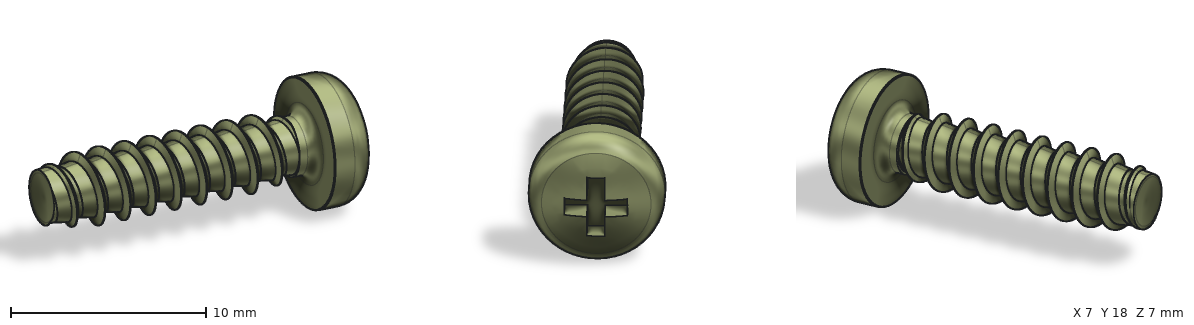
import cadquery as cq
import math


total_length = 18.03

head_radius = 3.5
head_seat_y = 15.04
dome_radius = 5.8
dome_edge_radius = 1.33
seat_chamfer = 0.05

recess_width = 0.92
recess_length = 3.25
recess_floor_y = 16.53

neck_radius = 1.57
neck_fillet = 0.6
neck_end_y = 14.01
core_radius = 1.39
dimple_radius = 1.3
dimple_depth = 0.1

pitch = 1.46
crest_radius = 2.0
crest_half_width = 0.027
thread_origin_y = 13.9
fade_in_turns = (-0.5, 1.1)
fade_out_turns = (8.0, 9.4)
ridge_turns = (-1, 10)
points_per_turn = 16

buried_radius = 1.32
root_radius = 1.4
full_section = [
    (-0.36, buried_radius),
    (-0.16, 1.64),
    (-crest_half_width, crest_radius),
    (crest_half_width, crest_radius),
    (0.2, 1.53),
    (0.97, root_radius),
    (1.03, buried_radius),
]
faded_section = [
    (-0.2, buried_radius),
    (-0.1, 1.45),
    (-crest_half_width, 1.5),
    (crest_half_width, 1.5),
    (0.2, 1.48),
    (0.97, root_radius),
    (1.03, buried_radius),
]


def make_head():
    """Turned head and neck, with the dome tangent to its rounded edge."""
    edge_centre_x = head_radius - dome_edge_radius
    centre_distance = dome_radius - dome_edge_radius
    edge_centre_height = math.sqrt(centre_distance**2 - edge_centre_x**2)
    corner_radius = recess_width / math.sqrt(2)
    dome_centre_y = total_length - math.sqrt(dome_radius**2 - corner_radius**2)
    edge_centre_y = dome_centre_y + edge_centre_height
    tangent_angle = math.atan2(edge_centre_height, edge_centre_x)

    def on_edge(angle):
        return (
            edge_centre_x + dome_edge_radius * math.cos(angle),
            edge_centre_y + dome_edge_radius * math.sin(angle),
        )

    def on_dome(angle):
        return (
            dome_radius * math.cos(angle),
            dome_centre_y + dome_radius * math.sin(angle),
        )

    apex_angle = math.pi / 2
    fillet_mid = neck_fillet * (1 - math.sqrt(0.5))
    return (
        cq.Workplane("XY")
        .moveTo(0, neck_end_y)
        .lineTo(neck_radius, neck_end_y)
        .lineTo(neck_radius, head_seat_y - neck_fillet)
        .threePointArc(
            (neck_radius + fillet_mid, head_seat_y - fillet_mid),
            (neck_radius + neck_fillet, head_seat_y),
        )
        .lineTo(head_radius - seat_chamfer, head_seat_y)
        .lineTo(head_radius, head_seat_y + seat_chamfer)
        .lineTo(head_radius, edge_centre_y)
        .threePointArc(on_edge(tangent_angle / 2), on_edge(tangent_angle))
        .threePointArc(on_dome((tangent_angle + apex_angle) / 2), on_dome(apex_angle))
        .close()
        .revolve(360, (0, 0, 0), (0, 1, 0))
    )


def make_recess():
    """Cross-shaped pocket opening through the top of the dome."""
    clearance = 0.18
    depth = total_length + clearance - recess_floor_y
    bar = cq.Workplane("XY").box(recess_length, depth, recess_width)
    cross = bar.union(bar.rotate((0, 0, 0), (0, 1, 0), 90))
    return cross.translate((0, recess_floor_y + depth / 2, 0))


def thread_height(turn):
    """Thread height fraction: 0 where it has faded out, 1 at full height."""
    rise = (turn - fade_in_turns[0]) / (fade_in_turns[1] - fade_in_turns[0])
    fall = (fade_out_turns[1] - turn) / (fade_out_turns[1] - fade_out_turns[0])
    return max(0, min(1, rise, fall))


def ridge_corner(corner, turn):
    """Place one section corner in space at a given turn."""
    height = thread_height(turn)
    offset, radius = (
        faded + (full - faded) * height
        for faded, full in zip(faded_section[corner], full_section[corner])
    )
    angle = 2 * math.pi * turn
    return cq.Vector(
        -radius * math.sin(angle),
        thread_origin_y - pitch * turn - offset,
        radius * math.cos(angle),
    )


def make_ridge():
    """Helical ridge skinned turn by turn between corner curves, closed by its end sections."""
    corners = range(len(full_section))
    faces = []
    for start in range(*ridge_turns):
        turns = [start + step / points_per_turn for step in range(points_per_turn + 1)]
        curves = [
            cq.Edge.makeSpline([ridge_corner(corner, turn) for turn in turns], parameters=turns)
            for corner in corners
        ]
        faces += [cq.Face.makeRuledSurface(curves[c - 1], curves[c]) for c in corners]
    for turn in ridge_turns:
        outline = [ridge_corner(corner, turn) for corner in corners]
        faces.append(cq.Face.makeFromWires(cq.Wire.makePolygon(outline, close=True)))
    return cq.Workplane(obj=cq.Solid.makeSolid(cq.Shell.makeShell(faces)))


def cylinder_along_y(radius, start_y, end_y):
    return cq.Workplane("XZ", origin=(0, start_y, 0)).circle(radius).extrude(start_y - end_y)


def make_threaded_shank():
    """Core and ridge, both overlong, trimmed together to the threaded length."""
    overrun = 2 * pitch
    core = cylinder_along_y(core_radius, -overrun, neck_end_y + overrun)
    threaded_length = cylinder_along_y(head_radius, 0, neck_end_y)
    return core.union(make_ridge()).intersect(threaded_length)


def make_tip_dimple():
    """Shallow cone sunk into the flat tip."""
    inward = cq.Vector(0, 1, 0)
    return cq.Workplane(obj=cq.Solid.makeCone(dimple_radius, 0, dimple_depth, dir=inward))


head = make_head().cut(make_recess())
shank = make_threaded_shank().cut(make_tip_dimple())
result = head.union(shank)